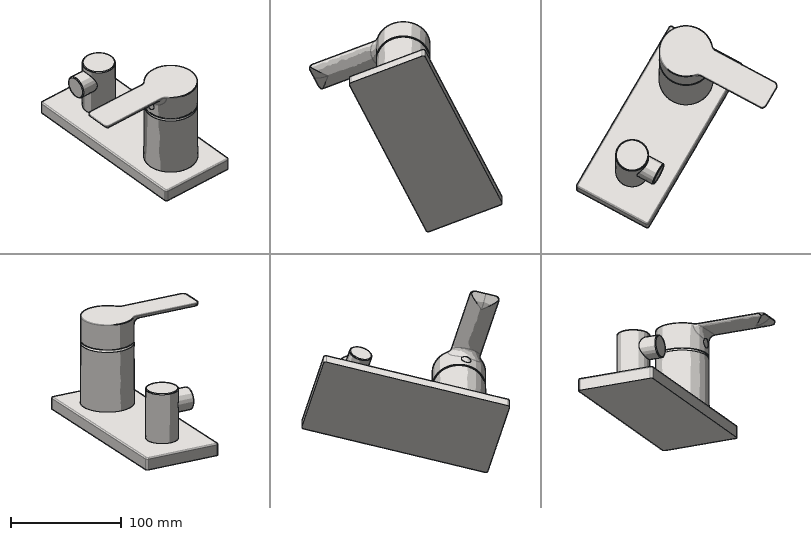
import cadquery as cq
PLATE_LENGTH = 175.0
PLATE_WIDTH = 75.0
PLATE_THICKNESS = 11.7
PLATE_CORNER_RADIUS = 2.2
PLATE_TOP_FILLET = 1.2

STATION_OFFSET = 50.0

POST_RADIUS = 15.0
POST_TOP = 60.0
POST_CHAMFER = 0.8
KNOB_RADIUS = 10.5
KNOB_REACH = 27.6
KNOB_HEIGHT = 44.7
KNOB_CHAMFER = 0.8

BODY_BASE_RADIUS = 24.6
BODY_TOP_RADIUS = 24.3
BODY_SHOULDER = 69.7
CAP_RADIUS = 24.25
CAP_BOTTOM = 71.9
CAP_TOP = 96.36
NECK_RADIUS = 23.2
HANDLE_TOP_FILLET = 0.5

LEVER_WIDTH = 27.3
OVERALL_DEPTH = 125.85
LEVER_END = OVERALL_DEPTH - PLATE_WIDTH / 2
LEVER_RIM = 0.9
LEVER_DEPTH = 6.3
LEVER_TIP_CURVE = 14.0
LEVER_CORNER_RADIUS = 4.5
LEVER_ROOT_FILLET = 6.0

TRIM_HEIGHT = 2.0

SELECT_MARGIN = 0.5

INDICATOR_RADIUS = 4.5
INDICATOR_BELOW_TOP = 15.0
INDICATOR_RECESS = 0.1


def make_plate():
    plate = cq.Workplane("XY").box(
        PLATE_LENGTH, PLATE_WIDTH, PLATE_THICKNESS, centered=(True, True, False)
    )
    plate = plate.edges("|Z").fillet(PLATE_CORNER_RADIUS)
    return plate.faces(">Z").edges().fillet(PLATE_TOP_FILLET)


def make_diverter():
    post = cq.Workplane("XY").circle(POST_RADIUS).extrude(POST_TOP)
    post = post.faces(">Z").edges().chamfer(POST_CHAMFER)
    knob = cq.Workplane("XZ", origin=(0, 0, KNOB_HEIGHT)).circle(KNOB_RADIUS).extrude(KNOB_REACH)
    knob = knob.faces("<Y").edges().chamfer(KNOB_CHAMFER)
    return post.union(knob)


def make_body():
    return (
        cq.Workplane("XZ")
        .moveTo(0, 0)
        .lineTo(BODY_BASE_RADIUS, 0)
        .lineTo(BODY_BASE_RADIUS, PLATE_THICKNESS)
        .lineTo(BODY_TOP_RADIUS, BODY_SHOULDER)
        .lineTo(NECK_RADIUS, CAP_BOTTOM)
        .lineTo(0, CAP_BOTTOM)
        .close()
        .revolve(360, (0, 0), (0, 1))
    )


def make_lever():
    """Bar with a half-elliptical underside, rising above the cap top by the trim height."""
    half_width = LEVER_WIDTH / 2
    keel_z = CAP_TOP - LEVER_DEPTH
    rim_z = CAP_TOP - LEVER_RIM
    raised_top = CAP_TOP + TRIM_HEIGHT
    bowed_bar = (
        cq.Workplane("XZ")
        .moveTo(half_width, rim_z)
        .lineTo(half_width, raised_top)
        .lineTo(-half_width, raised_top)
        .lineTo(-half_width, rim_z)
        .ellipseArc(half_width, rim_z - keel_z, 180, 360, startAtCurrent=True)
        .close()
        .extrude(LEVER_END)
    )
    rounded_plan = (
        cq.Workplane("XY", origin=(0, 0, keel_z))
        .rect(LEVER_WIDTH, 2 * LEVER_END)
        .extrude(raised_top - keel_z)
        .edges("|Z")
        .fillet(LEVER_CORNER_RADIUS)
    )
    tip_cutter = (
        cq.Workplane("YZ")
        .moveTo(LEVER_TIP_CURVE - LEVER_END, keel_z)
        .spline([(-LEVER_END, rim_z)], tangents=[(-1, 0), (-1, 1)], includeCurrent=True)
        .lineTo(-LEVER_END, keel_z)
        .close()
        .extrude(LEVER_WIDTH, both=True)
    )
    return bowed_bar.intersect(rounded_plan).cut(tip_cutter)


def make_handle():
    raised_top = CAP_TOP + TRIM_HEIGHT
    cap = cq.Workplane("XY", origin=(0, 0, CAP_BOTTOM)).circle(CAP_RADIUS).extrude(raised_top - CAP_BOTTOM)
    handle = cap.union(make_lever())
    root_zone = cq.selectors.BoxSelector(
        (-CAP_RADIUS, -CAP_RADIUS - SELECT_MARGIN, CAP_BOTTOM + SELECT_MARGIN),
        (CAP_RADIUS, -SELECT_MARGIN, raised_top + SELECT_MARGIN),
        boundingbox=True,
    )
    handle = handle.edges(root_zone).fillet(LEVER_ROOT_FILLET)
    trim_size = 2 * (LEVER_END + CAP_RADIUS)
    trim_block = cq.Workplane("XY", origin=(0, 0, CAP_TOP)).rect(trim_size, trim_size)
    handle = handle.cut(trim_block.extrude(TRIM_HEIGHT + SELECT_MARGIN))
    return handle.faces(">Z").edges().fillet(HANDLE_TOP_FILLET)


def make_indicator_recess():
    height = CAP_TOP - INDICATOR_BELOW_TOP
    pin = cq.Workplane("XZ", origin=(0, 0, height)).circle(INDICATOR_RADIUS).extrude(2 * CAP_RADIUS)
    core = cq.Workplane("XY").circle(CAP_RADIUS - INDICATOR_RECESS).extrude(CAP_TOP)
    return pin.cut(core)


diverter = make_diverter().translate((-STATION_OFFSET, 0, 0))
mixer = make_body().union(make_handle()).cut(make_indicator_recess())
mixer = mixer.translate((STATION_OFFSET, 0, 0))

result = make_plate().union(diverter).union(mixer)